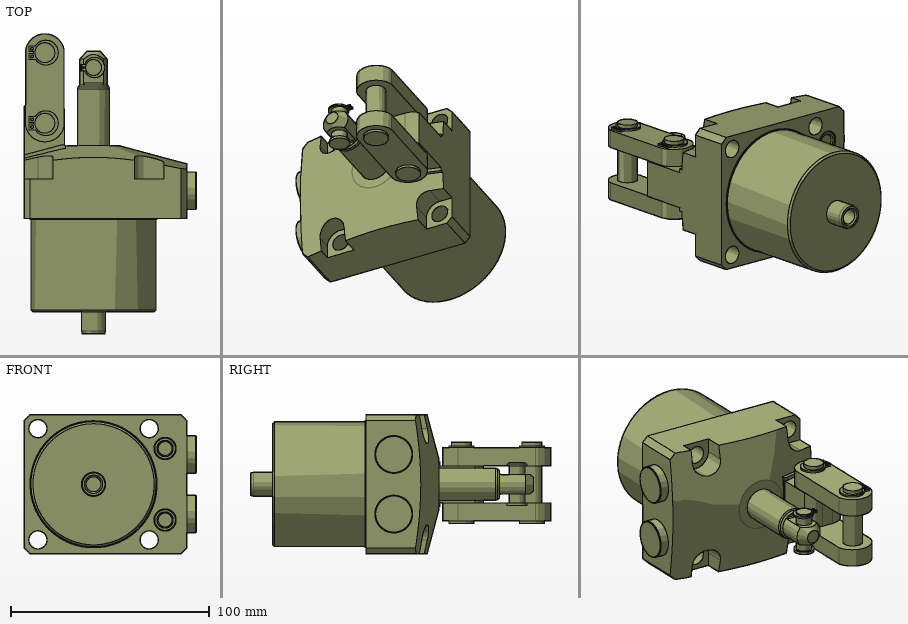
import cadquery as cq
import math


BLOCK_LEFT = -35.0
BLOCK_RIGHT = 47.0
BLOCK_HALF_HEIGHT = 35.0
BLOCK_CHAMFER = 3.0
CROWN_Y = 36.7
CROWN_FLAT_RADIUS = 13.0
CROWN_ANGLE = 15.0

HOLE_OFFSET = 28.0
HOLE_DIAMETER = 9.0
SEAT_RADIUS = 7.5
SEAT_Y = 20.0

CYLINDER_RADIUS = 31.5
CYLINDER_LENGTH = 47.0
CYLINDER_CHAMFER = 1.0
SPIGOT_RADIUS = 32.0
SPIGOT_LENGTH = 0.4

PORT_X = 36.0
PORT_Z = 18.0
PORT_RIM_RADIUS = 5.6
PORT_SEAT_RADIUS = 5.2
PORT_SEAT_DEPTH = 0.4
PORT_MOUTH_RADIUS = 4.1
PORT_FLOOR_RADIUS = 3.5
PORT_DEPTH = 1.2
PLUG_Y = 14.0
PLUG_Z = 15.0
PLUG_DIAMETER = 19.0
PLUG_HEIGHT = 4.8
PLUG_CHAMFER = 0.4

LUG_RIGHT = -14.5
LUG_TOP = 59.2
LUG_HALF_WIDTH = 9.3
LUG_ARC_RADIUS = 9.2
LUG_LEFT_DROP = 2.7
LUG_RIGHT_DROP = 4.3
PAD_HALF_WIDTH = 11.1
PAD_LEFT_Y = 32.0
PAD_PEAK_X = -15.7
PAD_RIGHT_X = -14.1

FULCRUM_Y = 48.0
LEVER_PIN_Y = 83.5
LINK_X = -24.5
LINK_WIDTH = 19.3
LINK_END_RADIUS = 9.9
LINK_TOP = 93.0
LINK_BOTTOM = 38.6
LINK_THICKNESS = 9.1
LINK_PIN_DIAMETER = 10.0
LINK_PIN_HEAD_DIAMETER = 12.5
LINK_PIN_TIP = 2.8
LINK_EAR_REACH = 7.9
LINK_EAR_WIDTH = 2.9
LINK_EAR_GAP = 0.9
LINK_OUTER = LUG_HALF_WIDTH + LINK_THICKNESS

PIN_HEAD_HEIGHT = 1.4
RING_THICKNESS = 0.9
RING_ECCENTRICITY = 0.5

ROD_RADIUS = 8.15
ROD_SHOULDER_Y = 65.2
ROD_BEVEL_RADIUS = 7.8
ROD_BEVEL_LENGTH = 1.0
NECK_RADIUS = 7.0
NECK_Y = 67.2
NECK_CHAMFER_Y = 80.2
ROD_TOP = 84.3
ROD_TOP_RADIUS = 3.4
FLAT_HALF_WIDTH = 4.9
FLAT_RAMP_LENGTH = 0.9
FLAT_RAMP_RISE = 0.4
TAIL_RADIUS = 6.1
TAIL_END = -58.0
TAIL_CHAMFER_LENGTH = 1.5
TAIL_CHAMFER_DEPTH = 0.4
TAIL_HOLE_DIAMETER = 7.5
TAIL_HOLE_DEPTH = 15.0
TAIL_COUNTERSINK_DIAMETER = 9.2

ROD_PIN_Y = 76.0
ROD_PIN_DIAMETER = 8.0
ROD_PIN_HEAD_DIAMETER = 10.3
ROD_PIN_TIP = 1.6
ROD_EAR_REACH = 6.8
ROD_EAR_WIDTH = 1.4
ROD_EAR_GAP = 0.5


def cylinder_along_y(x, z, y_start, y_end, diameter):
    """Cylinder parallel to Y between two Y positions."""
    return cq.Workplane("XZ", origin=(x, y_start, z)).circle(diameter / 2).extrude(y_start - y_end)


def revolve_about_y(points):
    """Solid of revolution about Y from (radius, y) points."""
    profile = [(y, radius) for radius, y in points]
    return cq.Workplane("YZ").polyline(profile).close().revolve(360, (0, 0), (1, 0))


def box_between(low, high):
    size = [b - a for a, b in zip(low, high)]
    return cq.Workplane("XY").box(*size, centered=False).translate(low)



def crowned_block():
    block = (
        box_between((BLOCK_LEFT, 0, -BLOCK_HALF_HEIGHT), (BLOCK_RIGHT, CROWN_Y, BLOCK_HALF_HEIGHT))
        .edges("|Y").chamfer(BLOCK_CHAMFER)
    )
    crown_radius = math.hypot(BLOCK_RIGHT, BLOCK_HALF_HEIGHT)
    crown_drop = (crown_radius - CROWN_FLAT_RADIUS) * math.tan(math.radians(CROWN_ANGLE))
    crown = revolve_about_y([
        (0, 0),
        (crown_radius, 0),
        (crown_radius, CROWN_Y - crown_drop),
        (CROWN_FLAT_RADIUS, CROWN_Y),
        (0, CROWN_Y),
    ])
    return block.intersect(crown)


def screw_seats():
    """Four screw seats, open to the top and bottom sides; the left pair is open to the left too."""
    reach = BLOCK_HALF_HEIGHT
    seats = cq.Workplane("XY")
    for x in (-HOLE_OFFSET, HOLE_OFFSET):
        for side in (-1, 1):
            z = side * HOLE_OFFSET
            z_range = sorted((z, side * (HOLE_OFFSET + reach)))
            seats = seats.add(cylinder_along_y(x, z, SEAT_Y, CROWN_Y, 2 * SEAT_RADIUS))
            seats = seats.add(box_between(
                (x - SEAT_RADIUS, SEAT_Y, z_range[0]),
                (x + SEAT_RADIUS, CROWN_Y, z_range[1]),
            ))
            if x < 0:
                z_range = sorted((z - side * SEAT_RADIUS, side * (HOLE_OFFSET + reach)))
                seats = seats.add(box_between(
                    (x - reach, SEAT_Y, z_range[0]),
                    (x, CROWN_Y, z_range[1]),
                ))
    return seats.combine()


def lug():
    """Plate whose top corners are rounded by arcs tangent to the top and cut off by the sides."""
    left_run = math.sqrt(LUG_ARC_RADIUS**2 - (LUG_ARC_RADIUS - LUG_LEFT_DROP)**2)
    right_run = math.sqrt(LUG_ARC_RADIUS**2 - (LUG_ARC_RADIUS - LUG_RIGHT_DROP)**2)
    return (
        cq.Workplane("XY", origin=(0, 0, -LUG_HALF_WIDTH))
        .moveTo(BLOCK_LEFT, 0)
        .lineTo(BLOCK_LEFT, LUG_TOP - LUG_LEFT_DROP)
        .radiusArc((BLOCK_LEFT + left_run, LUG_TOP), LUG_ARC_RADIUS)
        .lineTo(LUG_RIGHT - right_run, LUG_TOP)
        .radiusArc((LUG_RIGHT, LUG_TOP - LUG_RIGHT_DROP), LUG_ARC_RADIUS)
        .lineTo(LUG_RIGHT, 0)
        .close().extrude(2 * LUG_HALF_WIDTH)
    )


def lug_pad():
    """Sloping pad at the root of the lug, wider than the lug."""
    peak_y = PAD_LEFT_Y + (PAD_PEAK_X - BLOCK_LEFT) * math.tan(math.radians(CROWN_ANGLE))
    outline = [
        (BLOCK_LEFT, 0),
        (BLOCK_LEFT, PAD_LEFT_Y),
        (PAD_PEAK_X, peak_y),
        (PAD_RIGHT_X, CROWN_Y),
        (PAD_RIGHT_X, 0),
    ]
    return (
        cq.Workplane("XY", origin=(0, 0, -PAD_HALF_WIDTH))
        .polyline(outline).close().extrude(2 * PAD_HALF_WIDTH)
    )


def cylinder_barrel():
    return revolve_about_y([
        (0, 0),
        (SPIGOT_RADIUS, 0),
        (SPIGOT_RADIUS, -SPIGOT_LENGTH),
        (CYLINDER_RADIUS, -SPIGOT_LENGTH),
        (CYLINDER_RADIUS, CYLINDER_CHAMFER - CYLINDER_LENGTH),
        (CYLINDER_RADIUS - CYLINDER_CHAMFER, -CYLINDER_LENGTH),
        (0, -CYLINDER_LENGTH),
    ])


def port(z):
    """Shallow bevelled gasket seat with a smaller bevelled recess in its floor."""
    return revolve_about_y([
        (0, 0),
        (PORT_RIM_RADIUS, 0),
        (PORT_SEAT_RADIUS, PORT_SEAT_DEPTH),
        (PORT_MOUTH_RADIUS, PORT_SEAT_DEPTH),
        (PORT_FLOOR_RADIUS, PORT_DEPTH),
        (0, PORT_DEPTH),
    ]).translate((PORT_X, 0, z))


def side_plug(z):
    return (
        cq.Workplane("YZ", origin=(BLOCK_RIGHT, PLUG_Y, z))
        .circle(PLUG_DIAMETER / 2).extrude(PLUG_HEIGHT)
        .faces(">X").chamfer(PLUG_CHAMFER)
    )


def make_housing():
    housing = crowned_block().cut(screw_seats())
    housing = housing.union(lug_pad()).union(lug()).union(cylinder_barrel())
    for z in (-PLUG_Z, PLUG_Z):
        housing = housing.union(side_plug(z))
    for z in (-PORT_Z, PORT_Z):
        housing = housing.cut(port(z))
    for x in (-HOLE_OFFSET, HOLE_OFFSET):
        for z in (-HOLE_OFFSET, HOLE_OFFSET):
            housing = housing.cut(cylinder_along_y(x, z, 0, SEAT_Y, HOLE_DIAMETER))
    return housing



def rod_blank():
    return revolve_about_y([
        (0, TAIL_END),
        (TAIL_RADIUS - TAIL_CHAMFER_DEPTH, TAIL_END),
        (TAIL_RADIUS, TAIL_END + TAIL_CHAMFER_LENGTH),
        (TAIL_RADIUS, 0),
        (ROD_RADIUS, 0),
        (ROD_RADIUS, ROD_SHOULDER_Y),
        (ROD_BEVEL_RADIUS, ROD_SHOULDER_Y + ROD_BEVEL_LENGTH),
        (NECK_RADIUS, NECK_Y),
        (NECK_RADIUS, NECK_CHAMFER_Y),
        (ROD_TOP_RADIUS, ROD_TOP),
        (0, ROD_TOP),
    ])


def neck_flat(side):
    """Material removed beside one flat of the neck, with a short ramp at its foot."""
    ramp_z = FLAT_HALF_WIDTH + FLAT_RAMP_RISE
    profile = [
        (NECK_Y, side * ROD_RADIUS),
        (NECK_Y, side * ramp_z),
        (NECK_Y + FLAT_RAMP_LENGTH, side * FLAT_HALF_WIDTH),
        (ROD_TOP, side * FLAT_HALF_WIDTH),
        (ROD_TOP, side * ROD_RADIUS),
    ]
    return cq.Workplane("YZ").polyline(profile).close().extrude(ROD_RADIUS, both=True)


def tail_hole():
    radius = TAIL_HOLE_DIAMETER / 2
    mouth = TAIL_COUNTERSINK_DIAMETER / 2
    return revolve_about_y([
        (0, TAIL_END),
        (mouth, TAIL_END),
        (radius, TAIL_END + mouth - radius),
        (radius, TAIL_END + TAIL_HOLE_DEPTH),
        (0, TAIL_END + TAIL_HOLE_DEPTH),
    ])



def retaining_ring(pin_diameter, ring_diameter, ear_reach, ear_width, ear_gap):
    """Snap ring centred near the origin on Z = 0, its two pierced ears pointing to -X."""
    ring = (
        cq.Workplane("XY").center(RING_ECCENTRICITY, 0)
        .circle(ring_diameter / 2).extrude(RING_THICKNESS)
    )
    ear_length = ear_reach - pin_diameter / 4
    ear_hole_diameter = ear_width / 2
    for side in (-1, 1):
        ear_y = side * (ear_gap + ear_width) / 2
        ear = (
            cq.Workplane("XY").center(-ear_reach + ear_length / 2, ear_y)
            .rect(ear_length, ear_width).extrude(RING_THICKNESS)
        )
        ear_hole = (
            cq.Workplane("XY").center(-ear_reach + ear_width / 2, ear_y)
            .circle(ear_hole_diameter / 2).extrude(RING_THICKNESS)
        )
        ring = ring.union(ear.cut(ear_hole))
    return ring


def headed_pin(half_grip, tip, diameter, head_diameter, ring):
    """Pin along Z: a head under the grip, a plain shank and a retaining ring above the grip."""
    shank = (
        cq.Workplane("XY").workplane(offset=-half_grip)
        .circle(diameter / 2).extrude(2 * half_grip + tip)
    )
    head = (
        cq.Workplane("XY").workplane(offset=-half_grip)
        .circle(head_diameter / 2).extrude(-PIN_HEAD_HEIGHT)
    )
    return shank.union(head).union(ring.translate((0, 0, half_grip)))


def make_link_pin(y):
    ring = retaining_ring(
        LINK_PIN_DIAMETER, LINK_PIN_HEAD_DIAMETER, LINK_EAR_REACH, LINK_EAR_WIDTH, LINK_EAR_GAP
    )
    pin = headed_pin(LINK_OUTER, LINK_PIN_TIP, LINK_PIN_DIAMETER, LINK_PIN_HEAD_DIAMETER, ring)
    return pin.translate((LINK_X, y, 0))


def make_rod_pin():
    ring = retaining_ring(
        ROD_PIN_DIAMETER, ROD_PIN_HEAD_DIAMETER, ROD_EAR_REACH, ROD_EAR_WIDTH, ROD_EAR_GAP
    )
    pin = headed_pin(LUG_HALF_WIDTH, ROD_PIN_TIP, ROD_PIN_DIAMETER, ROD_PIN_HEAD_DIAMETER, ring)
    return pin.translate((0, ROD_PIN_Y, 0))


def link_plate(z):
    """Flat bar with arc ends, standing on the plane at z."""
    half_width = LINK_WIDTH / 2
    arc_rise = LINK_END_RADIUS - math.sqrt(LINK_END_RADIUS**2 - half_width**2)
    left = LINK_X - half_width
    right = LINK_X + half_width
    return (
        cq.Workplane("XY", origin=(0, 0, z))
        .moveTo(left, LINK_BOTTOM + arc_rise)
        .threePointArc((LINK_X, LINK_BOTTOM), (right, LINK_BOTTOM + arc_rise))
        .lineTo(right, LINK_TOP - arc_rise)
        .threePointArc((LINK_X, LINK_TOP), (left, LINK_TOP - arc_rise))
        .close().extrude(LINK_THICKNESS)
    )


def make_rod():
    rod = rod_blank().cut(tail_hole())
    for side in (-1, 1):
        rod = rod.cut(neck_flat(side))
    return rod


def make_link(fulcrum_pin):
    """Both plates joined by the fulcrum pin."""
    link = fulcrum_pin
    for plate_z in (-LINK_OUTER, LUG_HALF_WIDTH):
        link = link.union(link_plate(plate_z))
    return link



fulcrum_pin = make_link_pin(FULCRUM_Y)
lever_pin = make_link_pin(LEVER_PIN_Y)
rod_pin = make_rod_pin()
rod = make_rod().cut(rod_pin)
link = make_link(fulcrum_pin).cut(lever_pin)
housing = make_housing().cut(rod_blank()).cut(fulcrum_pin)

result = cq.Compound.makeCompound([
    housing.val(),
    rod.val(),
    link.val(),
    lever_pin.val(),
    rod_pin.val(),
])